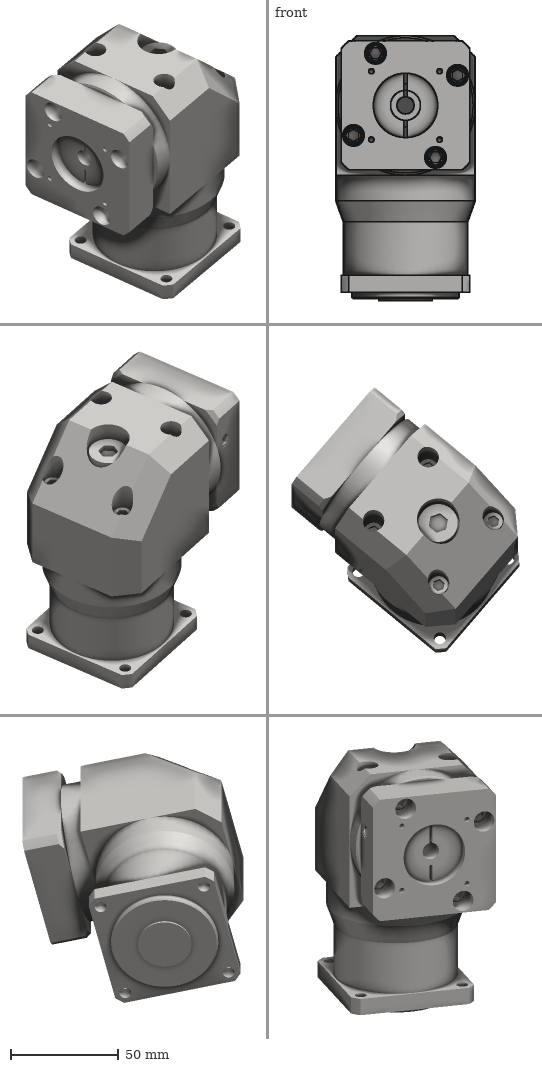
import cadquery as cq
import math


cube = 65.0
back_cut = 30.0
edge_chamfer = 10.0
input_boss_length = 2.0

end_boss_diameter, end_boss_height = 25.0, 1.0
pilot_diameter, pilot_height = 50.0, 3.0
pilot_chamfer = 0.7
flange_height = 8.0
barrel_diameter, barrel_height = 58.0, 25.0
cone_height = 9.6
collar_height = 12.0
flange_hole_diameter = 5.5
flange_hole_circle = 70.0

plate_side = 60.0
corner_diameter = 80.0

hole_count = 4
first_hole_angle = 45

ring_length = 8.0
ring_chamfer = 0.5
ring_chamfer_width = 1.0
plate_thickness = 18.5
plate_bevel = 2.0
bore_diameter = 30.0
bore_depth = 5.5
tapped_hole_diameter = 2.5
tapped_hole_depth = 9.9
tapped_hole_circle = 45.0
slot_width = 1.5
slot_depth = 5.0
slot_step_radius = 10.0
slot_step_depth = 9.9

shaft_diameter = 14.0
shaft_bore_diameter = 8.0
shaft_bore_depth = 14.8

screw_diameter = 8.5
screw_hex = 5.1
screw_height = 5.0
screw_chamfer = 0.7
counterbore_diameter = 10.0
screw_circle = 56.0
housing_screw_depth = 25.0
adapter_screw_depth = 10.0
housing_screw_angles = (45, 135, 225, 315)
adapter_screw_angles = (30, 120, 210, 300)

plug_diameter = 18.0
plug_hex = 8.2
plug_height = 7.4
plug_depth = 7.9
plug_hole_diameter = 20.0
plug_offset = 3.0

access_diameter = 7.9
access_hex = 5.2
access_recess = 0.1
access_from_front = 11.9
access_above_axis = 11.0

hex_depth = 3.1
drill_point = 118

flange_z = end_boss_height + pilot_height
barrel_z = flange_z + flange_height
cone_z = barrel_z + barrel_height
collar_z = cone_z + cone_height
housing_z = collar_z + collar_height
top_z = housing_z + cube
axis_z = housing_z + cube / 2
half = cube / 2
boss_y = -half - input_boss_length
plate_y = boss_y - ring_length
front_y = plate_y - plate_thickness
bore_floor_y = front_y + bore_depth
shaft_length = boss_y - bore_floor_y


def cylinder_z(diameter, height, z=0.0):
    return cq.Workplane("XY").workplane(offset=z).circle(diameter / 2).extrude(height)


def facing_front(shape, y):
    """Turn a shape from +Z to face -Y, with its axis on the input axis and its origin at y."""
    return shape.rotate((0, 0, 0), (1, 0, 0), 90).translate((0, y, axis_z))


def square_plate(thickness):
    square = cq.Workplane("XY").rect(plate_side, plate_side).extrude(thickness)
    return square.intersect(cylinder_z(corner_diameter, thickness))


def hex_socket(across_flats):
    """Hexagonal prism below z = 0, with two corners on the Y axis."""
    across_corners = across_flats / math.cos(math.pi / 6)
    prism = cq.Workplane("XY").polygon(6, across_corners).extrude(-hex_depth)
    return prism.rotate((0, 0, 0), (0, 0, 1), 90)


def hex_head(diameter, height, across_flats):
    """Socket head along Z, with its top at z = 0."""
    return cylinder_z(diameter, height, -height).cut(hex_socket(across_flats))


def polar(diameter, angle):
    """X and Y of a point on a circle about the axis, at an angle in degrees."""
    turn = math.radians(angle)
    return diameter / 2 * math.cos(turn), diameter / 2 * math.sin(turn)


def set_in_housing(housing, head, height, hole_diameter, depth, x, y):
    """Bore down from the top of the housing and leave a head in the hole, its top at the given depth."""
    hole = cylinder_z(hole_diameter, depth + height, -height)
    place = (x, y, top_z - depth)
    return housing.cut(hole.translate(place)).union(head.translate(place))


def make_housing():
    block = cq.Workplane("XY").workplane(offset=housing_z).rect(cube, cube).extrude(cube)
    block = block.edges(">Y and >Z").chamfer(back_cut)
    block = block.faces("<X or >X").edges("not (<Z or <Y)").chamfer(edge_chamfer)
    block = block.union(facing_front(cylinder_z(cube, input_boss_length), -half))
    screw = hex_head(screw_diameter, screw_height, screw_hex)
    for angle in housing_screw_angles:
        x, y = polar(screw_circle, angle)
        block = set_in_housing(
            block, screw, screw_height, counterbore_diameter, housing_screw_depth, x, y
        )
    plug = hex_head(plug_diameter, plug_height, plug_hex)
    return set_in_housing(block, plug, plug_height, plug_hole_diameter, plug_depth, 0, plug_offset)


def make_gearbox():
    profile = [
        (0, 0),
        (end_boss_diameter / 2, 0),
        (end_boss_diameter / 2, end_boss_height),
        (pilot_diameter / 2 - pilot_chamfer, end_boss_height),
        (pilot_diameter / 2, end_boss_height + pilot_chamfer),
        (pilot_diameter / 2, flange_z),
        (barrel_diameter / 2, flange_z),
        (barrel_diameter / 2, cone_z),
        (half, collar_z),
        (half, housing_z),
        (0, housing_z),
    ]
    turned = cq.Workplane("XZ").polyline(profile).close().revolve(360, (0, 0), (0, 1))
    flange = square_plate(flange_height)
    holes = cq.Workplane("XY").polarArray(flange_hole_circle / 2, first_hole_angle, 360, hole_count)
    flange = flange.cut(holes.circle(flange_hole_diameter / 2).extrude(flange_height))
    return turned.union(flange.translate((0, 0, flange_z)))


def make_blank():
    """Ring against the housing and square plate in front of it, bevelled at the back of its corners."""
    ring = cylinder_z(cube, ring_length).faces(">Z").chamfer(ring_chamfer, ring_chamfer_width)
    turned = cylinder_z(corner_diameter, plate_thickness).faces("<Z").chamfer(plate_bevel)
    plate = square_plate(plate_thickness).intersect(turned)
    return facing_front(ring, boss_y).union(facing_front(plate, plate_y))


def make_front_bore():
    """Bore in the front, the hole for the shaft behind it and the stepped slot across its floor."""
    bore = cylinder_z(bore_diameter, bore_depth)
    shaft_hole = cylinder_z(shaft_diameter, shaft_length, -shaft_length)
    slot = cq.Workplane("XY").rect(slot_width, bore_diameter).extrude(-slot_depth)
    slot = slot.intersect(cylinder_z(bore_diameter, slot_depth, -slot_depth))
    step = cq.Workplane("XY").rect(slot_width, 2 * slot_step_radius).extrude(-slot_step_depth)
    return facing_front(bore.union(shaft_hole).union(slot).union(step), bore_floor_y)


def make_tapped_holes():
    radius = tapped_hole_diameter / 2
    tip = radius / math.tan(math.radians(drill_point / 2))
    profile = [(0, 0), (radius, 0), (radius, -tapped_hole_depth), (0, -tapped_hole_depth - tip)]
    hole = cq.Workplane("XZ").polyline(profile).close().revolve(360, (0, 0), (0, 1)).val()
    holes = cq.Workplane("XY").polarArray(tapped_hole_circle / 2, first_hole_angle, 360, hole_count)
    return facing_front(holes.eachpoint(hole), front_y)


def make_access_socket():
    """Shallow round recess with a hexagon socket, sunk into the left side."""
    recess = cylinder_z(access_diameter, access_recess, -access_recess).union(hex_socket(access_hex))
    recess = recess.rotate((0, 0, 0), (0, 1, 0), -90)
    return recess.translate((-plate_side / 2, front_y + access_from_front, axis_z + access_above_axis))


def make_adapter():
    adapter = make_blank().cut(make_front_bore()).cut(make_tapped_holes()).cut(make_access_socket())
    hole = cylinder_z(counterbore_diameter, adapter_screw_depth + screw_height, -screw_height)
    screw = hex_head(screw_diameter, screw_height, screw_hex)
    screw = screw.faces(">Z").edges("%CIRCLE").chamfer(screw_chamfer)
    for angle in adapter_screw_angles:
        x, z = polar(screw_circle, angle)
        place = (x, z, -adapter_screw_depth)
        head = screw.rotate((0, 0, 0), (0, 0, 1), angle - adapter_screw_angles[0])
        adapter = adapter.cut(facing_front(hole.translate(place), front_y))
        adapter = adapter.union(facing_front(head.translate(place), front_y))
    return adapter


def make_shaft():
    """Hollow shaft, flush with the floor of the front bore and slit along its upper side."""
    shaft = cylinder_z(shaft_diameter, shaft_length, -shaft_length)
    shaft = shaft.cut(cylinder_z(shaft_bore_diameter, shaft_bore_depth, -shaft_bore_depth))
    slit = cq.Workplane("XY").rect(slot_width, shaft_diameter).extrude(-slot_step_depth)
    slit = slit.translate((0, shaft_diameter / 2, 0))
    return facing_front(shaft.cut(slit), bore_floor_y)


housing = make_housing()
gearbox = make_gearbox()
adapter = make_adapter()
shaft = make_shaft()

bodies = [housing, gearbox, adapter, shaft]
result = cq.Compound.makeCompound([body.val() for body in bodies])